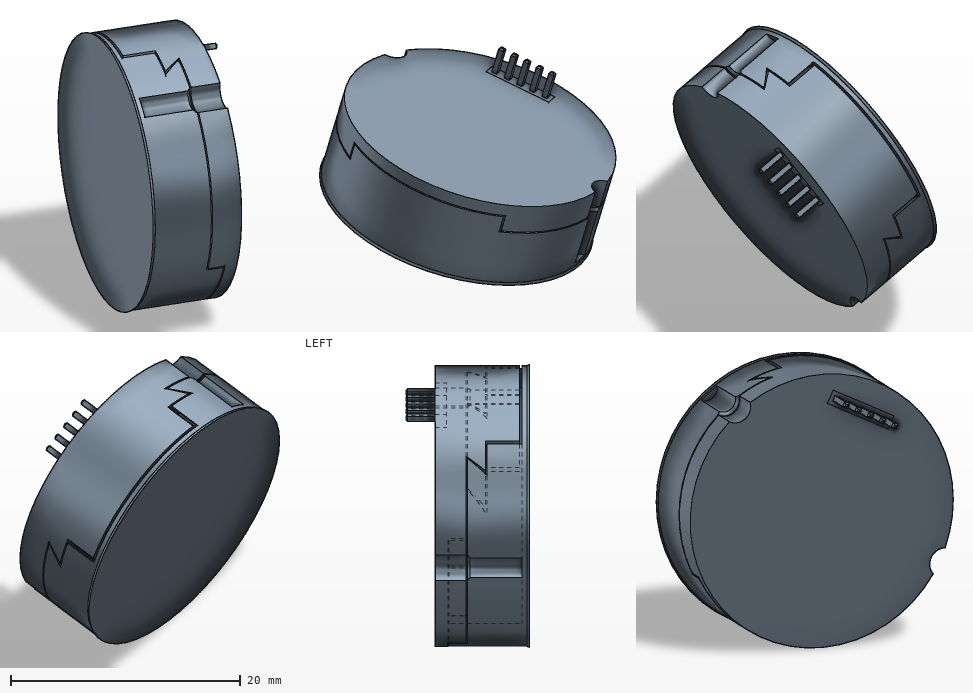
import cadquery as cq
import math

KEY_ANGLE = 26.2

DISC_DIAMETER = 24.7
BODY_DIAMETER = 24.5
SLEEVE_WALL = 1.98
BODY_RADIUS = BODY_DIAMETER / 2
SPIGOT_RADIUS = BODY_RADIUS - SLEEVE_WALL

DISC_THICKNESS = 0.25
CUP_FLOOR_Y = 0.67
CUP_SHOULDER_Y = 3.73
CUP_RIM_Y = 5.43
REAR_TAB_Y = 7.01
BACK_Y = 8.25
PIN_TIP_Y = 10.8

SEAM_GAP = 0.12
TAB_SIDE_GAP = 0.25
TAB_END_GAP = 0.2

NOTCH_HALF_WIDTH = 7.48
DOVETAIL_HALF_WIDTH = 9.53
THROAT_HALF_WIDTH = 8.5

GROOVE_ANGLES = (25.0, 180.0)
GROOVE_AXIS_RADIUS = 12.72
FRONT_GROOVE_WIDTH = 1.9
REAR_GROOVE_WIDTH = 2.5
GROOVE_LEAD_IN = 0.25

PIN_COUNT = 5
PIN_PITCH = 1.25
PIN_SIZE = 0.5
PIN_CHAMFER = 0.15
PIN_ROW_HEIGHT = 9.48
PIN_ROW_SHIFT = PIN_PITCH / 2
HEADER_DEPTH = 1.0
HEADER_LENGTH = PIN_COUNT * PIN_PITCH
HEADER_WIDTH = PIN_PITCH


def cylinder(radius, y_start, y_end):
    """Solid cylinder around the Y axis."""
    return cq.Workplane("XZ", origin=(0, y_start, 0)).circle(radius).extrude(y_start - y_end)


def sleeve(y_start, y_end):
    """Ring wall between the spigot and the outer cylinder."""
    return cylinder(BODY_RADIUS, y_start, y_end).cut(cylinder(SPIGOT_RADIUS, y_start, y_end))


def prism(points, direction):
    """Outline in X and Y, extruded from the axis past the side, toward +Z (1) or -Z (-1)."""
    return cq.Workplane("XY").polyline(points).close().extrude(direction * DISC_DIAMETER)


def dovetail(half_width, neck_y, shoulder_y, flank_half_width, throat_half_width, top_y):
    """Prism toward +Z: a straight tongue that widens at a shoulder into dovetail flanks."""
    right_side = [
        (half_width, neck_y),
        (half_width, shoulder_y),
        (flank_half_width, shoulder_y),
        (throat_half_width, top_y),
    ]
    left_side = [(-x, y) for x, y in reversed(right_side)]
    return prism(right_side + left_side, 1)


def rear_tab_prism(half_width, y_end):
    """Straight prism toward -Z, from the cup floor to y_end."""
    points = [
        (-half_width, CUP_FLOOR_Y),
        (half_width, CUP_FLOOR_Y),
        (half_width, y_end),
        (-half_width, y_end),
    ]
    return prism(points, -1)


def groove_radius(width):
    """Radius of the groove that opens to the given width on the body surface."""
    half_width = width / 2
    chord_distance = math.sqrt(BODY_RADIUS**2 - half_width**2)
    return math.hypot(half_width, GROOVE_AXIS_RADIUS - chord_distance)


def groove(angle):
    """Stepped cutter along Y: narrow in the front, a short cone, wide in the rear."""
    front_radius = groove_radius(FRONT_GROOVE_WIDTH)
    rear_radius = groove_radius(REAR_GROOVE_WIDTH)
    outline = [
        (0, CUP_FLOOR_Y),
        (front_radius, CUP_FLOOR_Y),
        (front_radius, CUP_RIM_Y - GROOVE_LEAD_IN),
        (rear_radius, CUP_RIM_Y),
        (rear_radius, BACK_Y),
        (0, BACK_Y),
    ]
    cutter = cq.Workplane("XY").polyline(outline).close().revolve(360, (0, 0, 0), (0, 1, 0))
    x = GROOVE_AXIS_RADIUS * math.cos(math.radians(angle))
    z = GROOVE_AXIS_RADIUS * math.sin(math.radians(angle))
    return cutter.translate((x, 0, z))


def cut_grooves(body):
    for angle in GROOVE_ANGLES:
        body = body.cut(groove(angle))
    return body


def header_strip():
    """Bar that carries the pins, flush with the back face."""
    return cq.Workplane("XY").box(HEADER_LENGTH, HEADER_DEPTH, HEADER_WIDTH).translate(
        (PIN_ROW_SHIFT, BACK_Y - HEADER_DEPTH / 2, PIN_ROW_HEIGHT)
    )


def make_disc():
    """Front disc whose edge flares from the body diameter to its full diameter."""
    return (
        cq.Workplane("XZ")
        .circle(DISC_DIAMETER / 2)
        .workplane(offset=-DISC_THICKNESS)
        .circle(BODY_RADIUS)
        .loft()
    )


def make_cup():
    """Floor and ring wall, with a dovetail notch toward +Z and a raised tab toward -Z."""
    notch = dovetail(
        NOTCH_HALF_WIDTH, CUP_FLOOR_Y, CUP_SHOULDER_Y, DOVETAIL_HALF_WIDTH, THROAT_HALF_WIDTH, CUP_RIM_Y
    )
    rear_tab = sleeve(CUP_FLOOR_Y, REAR_TAB_Y).intersect(rear_tab_prism(NOTCH_HALF_WIDTH, REAR_TAB_Y))
    bore = cylinder(SPIGOT_RADIUS, CUP_FLOOR_Y, REAR_TAB_Y)
    cup_body = cylinder(BODY_RADIUS, DISC_THICKNESS, CUP_RIM_Y).cut(notch).union(rear_tab).cut(bore)
    return cut_grooves(cup_body).clean()


def make_back():
    """Spigot that fills the cup, outer rear skin, and a snap tab lying in the cup notch."""
    skin_y = CUP_RIM_Y + SEAM_GAP
    tab = dovetail(
        NOTCH_HALF_WIDTH - TAB_SIDE_GAP,
        CUP_FLOOR_Y + TAB_END_GAP,
        CUP_SHOULDER_Y + SEAM_GAP,
        DOVETAIL_HALF_WIDTH - TAB_SIDE_GAP,
        THROAT_HALF_WIDTH - SEAM_GAP,
        skin_y,
    )
    snap_tab = sleeve(CUP_FLOOR_Y, skin_y).intersect(tab)
    rear_recess = rear_tab_prism(NOTCH_HALF_WIDTH + SEAM_GAP, REAR_TAB_Y + SEAM_GAP)
    skin = sleeve(skin_y, BACK_Y).cut(rear_recess)
    spigot = cylinder(SPIGOT_RADIUS, CUP_FLOOR_Y, BACK_Y)
    return cut_grooves(spigot.union(skin).union(snap_tab)).cut(header_strip())


def make_pin(index):
    """Square pin standing on the header strip, with a chamfered tip."""
    x = PIN_ROW_SHIFT + (index - (PIN_COUNT - 1) / 2) * PIN_PITCH
    return (
        cq.Workplane("XZ", origin=(x, BACK_Y, PIN_ROW_HEIGHT))
        .rect(PIN_SIZE, PIN_SIZE)
        .extrude(BACK_Y - PIN_TIP_Y)
        .faces(">Y")
        .chamfer(PIN_CHAMFER)
    )


def make_pin_header():
    """Strip and all its pins as one body."""
    header = header_strip()
    for index in range(PIN_COUNT):
        header = header.union(make_pin(index))
    return header


def turned(body):
    """Body turned about the housing axis into its final position."""
    return body.rotate((0, 0, 0), (0, -1, 0), KEY_ANGLE)


disc = make_disc()
cup = turned(make_cup())
back = turned(make_back())
pin_header = turned(make_pin_header())

result = cq.Compound.makeCompound([disc.val(), cup.val(), back.val(), pin_header.val()])